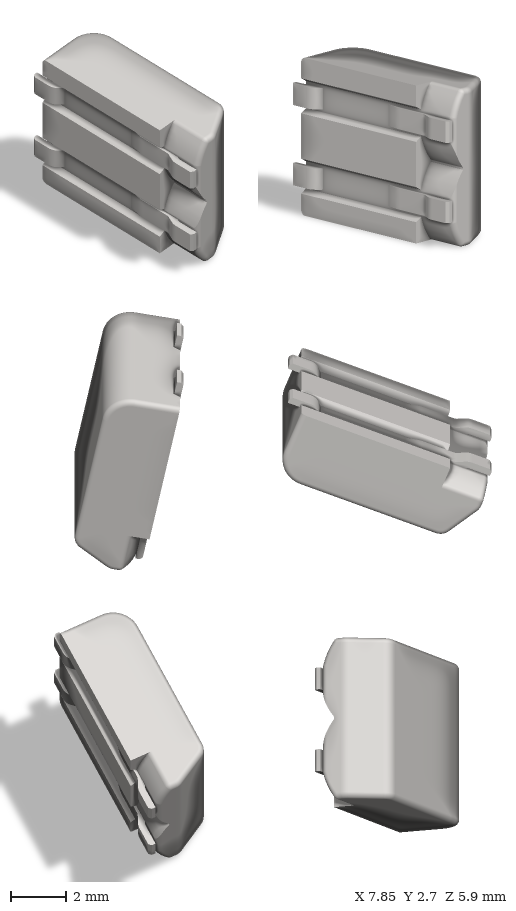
import cadquery as cq
import math


body_left = 0.45
body_right = 7.85
body_depth = 2.65
body_width = 5.9
back_corner_radius = 1.0
slope_run = 0.855
slope_angle = math.radians(60)
slope_corner_radius = 0.5
edge_radius = 0.2
selection_margin = 0.05

head_left = 6.23
flank_radius = 2.5
flank_start_angle = math.radians(14)
lobe_flat_half_width = 0.46
valley_half_width = 0.04

lead_positions = (-1.5, 1.5)
lead_width = 0.8
lead_thickness = 0.25
lead_foot = -0.05
tip_chamfer = 0.1
groove_depth = 0.25
groove_floor_width = 1.02
groove_wall_angle = math.radians(60)
groove_mouth_width = groove_floor_width + 2 * groove_depth / math.tan(groove_wall_angle)

stub_foot_end = 0.8
stub_bend_radius = 0.5
stub_angle = math.radians(46)

run_start = 4.59
run_level_start = 5.245
run_level = 0.15
run_angle = math.radians(10.5)
run_bend_radius = 1.2
drop_start = 6.43
drop_angle = math.radians(24.5)
drop_inner_radius = 0.3
drop_outer_radius = drop_inner_radius + lead_thickness
buried_depth = run_level + lead_thickness

flank_center_offset = lobe_flat_half_width - flank_radius * math.sin(flank_start_angle)
flank_center_y = groove_depth + flank_radius * math.cos(flank_start_angle)


def flank_y(offset):
    """Y of a lobe flank at a Z offset from its lead."""
    return flank_center_y - math.sqrt(flank_radius**2 - (offset - flank_center_offset) ** 2)


def outline_block():
    """Plain body block: its XY outline, corners rounded, across the full width."""
    slope_end_y = body_depth - slope_run * math.tan(slope_angle)
    block = (
        cq.Workplane("XY")
        .moveTo(body_left, 0)
        .lineTo(body_right, 0)
        .lineTo(body_right, slope_end_y)
        .lineTo(body_right - slope_run, body_depth)
        .lineTo(body_left, body_depth)
        .close()
        .extrude(body_width / 2, both=True)
    )
    block = block.edges("|Z and >Y and <X").fillet(back_corner_radius)
    slope_box = cq.selectors.BoxSelector(
        (body_right - slope_run - selection_margin, slope_end_y - selection_margin, -body_width),
        (body_right + selection_margin, body_depth + selection_margin, body_width),
    )
    return block.edges("|Z").edges(slope_box).fillet(slope_corner_radius)


def slab(x_start, x_end):
    """Oversized slab that keeps only one X range of the body."""
    size = 2 * body_width
    origin = (x_start, 0, 0)
    return cq.Workplane("XY", origin=origin).box(x_end - x_start, size, size, centered=(False, True, True))


def main_body():
    """Body up to the head, with every side edge rounded except at the mounting face."""
    block = outline_block().faces("<Z or >Z").edges("not <Y").fillet(edge_radius)
    return block.intersect(slab(body_left, head_left))


def head():
    """Head with rounded outer edges and a sharp valley between its two lobes."""
    outer = lead_positions[1]
    half = body_width / 2
    side_offset = half - outer
    flat_edge = outer + lobe_flat_half_width
    mid_offset = (lobe_flat_half_width + side_offset) / 2
    length = body_right - body_left
    front = (
        cq.Workplane("YZ", origin=(body_left, 0, 0))
        .moveTo(groove_depth, -flat_edge)
        .lineTo(groove_depth, flat_edge)
        .threePointArc((flank_y(mid_offset), outer + mid_offset), (flank_y(side_offset), half))
        .lineTo(body_depth, half)
        .lineTo(body_depth, -half)
        .lineTo(flank_y(side_offset), -half)
        .threePointArc((flank_y(mid_offset), -outer - mid_offset), (groove_depth, -flat_edge))
        .close()
        .extrude(length)
    )
    block = outline_block().intersect(front)
    flat_box = cq.selectors.BoxSelector(
        (0, groove_depth - selection_margin, -half),
        (body_right, groove_depth + selection_margin, half),
    )
    block = block.edges("|X").edges(flat_box).fillet(edge_radius)
    block = block.faces("<Z or >Z or >X").edges().fillet(edge_radius)

    valley_offset = outer - valley_half_width
    inner_edge = outer - lobe_flat_half_width
    valley_mid = (lobe_flat_half_width + valley_offset) / 2
    valley = (
        cq.Workplane("YZ", origin=(body_left, 0, 0))
        .moveTo(groove_depth, -inner_edge)
        .threePointArc((flank_y(valley_mid), valley_mid - outer), (flank_y(valley_offset), -valley_half_width))
        .lineTo(flank_y(valley_offset), valley_half_width)
        .threePointArc((flank_y(valley_mid), outer - valley_mid), (groove_depth, inner_edge))
        .close()
        .extrude(length)
    )
    return block.cut(valley).intersect(slab(head_left, body_right))


def groove(z):
    """Flared groove along the mounting face for one lead."""
    return (
        cq.Workplane("YZ", origin=(body_left, 0, z))
        .moveTo(0, -groove_mouth_width / 2)
        .lineTo(groove_depth, -groove_floor_width / 2)
        .lineTo(groove_depth, groove_floor_width / 2)
        .lineTo(0, groove_mouth_width / 2)
        .close()
        .extrude(head_left - body_left)
    )


def bend_point(radius, angle):
    """X and Y travel along a bend that starts level and turns through `angle`."""
    return radius * math.sin(angle), radius * (1 - math.cos(angle))


def stub_lead(z):
    """Left lead: a foot outside the body that bends up into the groove floor."""
    top = lead_foot + lead_thickness
    mid_x, mid_y = bend_point(stub_bend_radius, stub_angle / 2)
    end_x, end_y = bend_point(stub_bend_radius, stub_angle)
    entry_x = stub_foot_end + end_x + (groove_depth - lead_foot - end_y) / math.tan(stub_angle)
    return (
        cq.Workplane("XY", origin=(0, 0, z))
        .moveTo(tip_chamfer, lead_foot)
        .lineTo(stub_foot_end, lead_foot)
        .threePointArc((stub_foot_end + mid_x, lead_foot + mid_y), (stub_foot_end + end_x, lead_foot + end_y))
        .lineTo(entry_x, groove_depth)
        .lineTo(entry_x, buried_depth)
        .lineTo(stub_foot_end, buried_depth)
        .lineTo(stub_foot_end, top)
        .lineTo(0, top)
        .lineTo(0, lead_foot + tip_chamfer)
        .close()
        .extrude(lead_width / 2, both=True)
    )


def run_lead(z):
    """Right lead: out of the groove floor, level under the head, then down to its foot."""
    run_mid_x, run_mid_y = bend_point(run_bend_radius, run_angle / 2)
    run_end_x, run_end_y = bend_point(run_bend_radius, run_angle)
    inner_mid_x, inner_mid_y = bend_point(drop_inner_radius, drop_angle / 2)
    inner_end_x, inner_end_y = bend_point(drop_inner_radius, drop_angle)
    outer_mid_x, outer_mid_y = bend_point(drop_outer_radius, drop_angle / 2)
    outer_end_x, outer_end_y = bend_point(drop_outer_radius, drop_angle)
    straight_drop = run_level - lead_foot - inner_end_y - outer_end_y
    drop_end = drop_start + inner_end_x + straight_drop / math.tan(drop_angle) + outer_end_x
    top = run_level + lead_thickness
    foot_top = lead_foot + lead_thickness
    return (
        cq.Workplane("XY", origin=(0, 0, z))
        .moveTo(run_start, groove_depth)
        .lineTo(run_level_start - run_end_x, run_level + run_end_y)
        .threePointArc((run_level_start - run_mid_x, run_level + run_mid_y), (run_level_start, run_level))
        .lineTo(drop_start, run_level)
        .threePointArc(
            (drop_start + inner_mid_x, run_level - inner_mid_y),
            (drop_start + inner_end_x, run_level - inner_end_y),
        )
        .lineTo(drop_end - outer_end_x, lead_foot + outer_end_y)
        .threePointArc((drop_end - outer_mid_x, lead_foot + outer_mid_y), (drop_end, lead_foot))
        .lineTo(body_right - tip_chamfer, lead_foot)
        .lineTo(body_right, lead_foot + tip_chamfer)
        .lineTo(body_right, foot_top)
        .lineTo(drop_end, foot_top)
        .threePointArc(
            (drop_end - inner_mid_x, foot_top + inner_mid_y),
            (drop_end - inner_end_x, foot_top + inner_end_y),
        )
        .lineTo(drop_start + outer_end_x, top - outer_end_y)
        .threePointArc((drop_start + outer_mid_x, top - outer_mid_y), (drop_start, top))
        .lineTo(run_start, top)
        .close()
        .extrude(lead_width / 2, both=True)
    )


body = main_body()
for lead_z in lead_positions:
    body = body.cut(groove(lead_z))
body = body.union(head())
for lead_z in lead_positions:
    body = body.union(stub_lead(lead_z)).union(run_lead(lead_z))

result = body